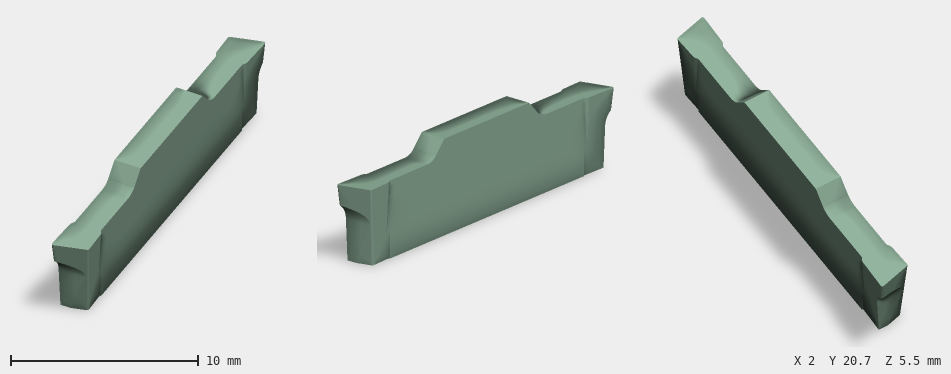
import cadquery as cq
import math

body_width = 1.57
deck_height = 4.45
total_height = 5.5
body_end = 8.05
plateau_half = 3.52
ramp_foot = (4.26, 4.7)
ramp_arc_end = 4.95
ramp_angle = math.radians(39)

total_length = 20.7
edge_width = 2.0
side_flare = 0.037
edge_angle = math.radians(15)
corner_radius = 0.1
front_center = (
    total_length / 2
    - corner_radius
    - (edge_width / 2 - corner_radius) * math.tan(edge_angle)
    + corner_radius / math.cos(edge_angle)
)
front_relief = 0.45
side_relief = 0.2
shoulder_start = 8.35
shoulder_middle = 8.22
shoulder_half_width = 0.93
shoulder_middle_half_width = 0.9

undercut_face = 9.7
undercut_arc_start = 2.4
undercut_radius = 0.97
cutter_reach = 12.42
cutter_half_width = 2.07


def make_body():
    """Flat bar with a raised plateau and blended ramps."""
    radius = (ramp_arc_end - ramp_foot[0]) / math.sin(ramp_angle)
    mid_y = ramp_arc_end - radius * math.sin(ramp_angle / 2)
    mid_z = deck_height + radius * (1 - math.cos(ramp_angle / 2))
    foot_y, foot_z = ramp_foot
    return (
        cq.Workplane("YZ")
        .moveTo(-body_end, 0)
        .lineTo(body_end, 0)
        .lineTo(body_end, deck_height)
        .lineTo(ramp_arc_end, deck_height)
        .threePointArc((mid_y, mid_z), (foot_y, foot_z))
        .lineTo(plateau_half, total_height)
        .lineTo(-plateau_half, total_height)
        .lineTo(-foot_y, foot_z)
        .threePointArc((-mid_y, mid_z), (-ramp_arc_end, deck_height))
        .lineTo(-body_end, deck_height)
        .close()
        .extrude(body_width / 2, both=True)
    )


def side_half_width(distance, side_inset):
    """Half width of the flared head sides at a distance from the part centre."""
    return shoulder_half_width - side_inset + side_flare * (distance - shoulder_start)


def front_tip(side, side_inset, front_inset):
    """Corner where the slanted front edge meets a side (-1 or 1 along X)."""
    center = front_center - front_inset
    slant = math.tan(edge_angle)
    half_width = side_half_width(center, side_inset) / (1 + side * side_flare * slant)
    return (side * half_width, -center + side * half_width * slant)


def head_outline(side_inset, front_inset):
    """Head outline at one level, moved in at the sides and at the front."""
    shoulder = shoulder_half_width - side_inset
    middle = shoulder_middle_half_width - side_inset
    root = body_width / 2 - side_inset
    return [
        (-root, -body_end),
        (-middle, -shoulder_middle),
        (-shoulder, -shoulder_start),
        front_tip(-1, side_inset, front_inset),
        front_tip(1, side_inset, front_inset),
        (shoulder, -shoulder_start),
        (middle, -shoulder_middle),
        (root, -body_end),
    ]


def neck_outline(side_inset):
    """Continuation of the flared head sides back to the bar."""
    front = side_half_width(shoulder_start, side_inset)
    back = side_half_width(body_end, side_inset)
    return [
        (-back, -body_end),
        (-front, -shoulder_start),
        (front, -shoulder_start),
        (back, -body_end),
    ]


def make_neck():
    """Tapered link from bar to head, never wider than the bar."""
    length = shoulder_start - body_end
    taper = (
        cq.Workplane("XY")
        .polyline(neck_outline(side_relief))
        .close()
        .workplane(offset=deck_height)
        .polyline(neck_outline(0))
        .close()
        .loft(ruled=True)
    )
    bar = (
        cq.Workplane("XY")
        .center(0, -(shoulder_start + body_end) / 2)
        .rect(body_width, length)
        .extrude(deck_height)
    )
    return taper.intersect(bar)


def make_head():
    """Relieved head with rounded tips and a concave undercut."""
    head = (
        cq.Workplane("XY")
        .polyline(head_outline(side_relief, front_relief))
        .close()
        .workplane(offset=deck_height)
        .polyline(head_outline(0, 0))
        .close()
        .loft(ruled=True)
    )
    middle_of_front = -(shoulder_start + front_center) / 2
    front_region = cq.selectors.BoxSelector(
        (-cutter_half_width, -cutter_reach, deck_height / 4),
        (cutter_half_width, middle_of_front, deck_height * 3 / 4),
    )
    head = head.edges(front_region).fillet(corner_radius)

    arc_half_angle = math.radians(45)
    arc_middle = (
        -undercut_face - undercut_radius * (1 - math.cos(arc_half_angle)),
        undercut_arc_start + undercut_radius * math.sin(arc_half_angle),
    )
    arc_end = (-undercut_face - undercut_radius, undercut_arc_start + undercut_radius)
    undercut = (
        cq.Workplane("YZ")
        .moveTo(-undercut_face, 0)
        .lineTo(-undercut_face, undercut_arc_start)
        .threePointArc(arc_middle, arc_end)
        .lineTo(-cutter_reach, arc_end[1])
        .lineTo(-cutter_reach, 0)
        .close()
        .extrude(cutter_half_width, both=True)
    )
    return head.cut(undercut)


result = make_body()
front_head = make_head().union(make_neck())
for turn in (0, 180):
    result = result.union(front_head.rotate((0, 0, 0), (0, 0, 1), turn))
result = result.clean()